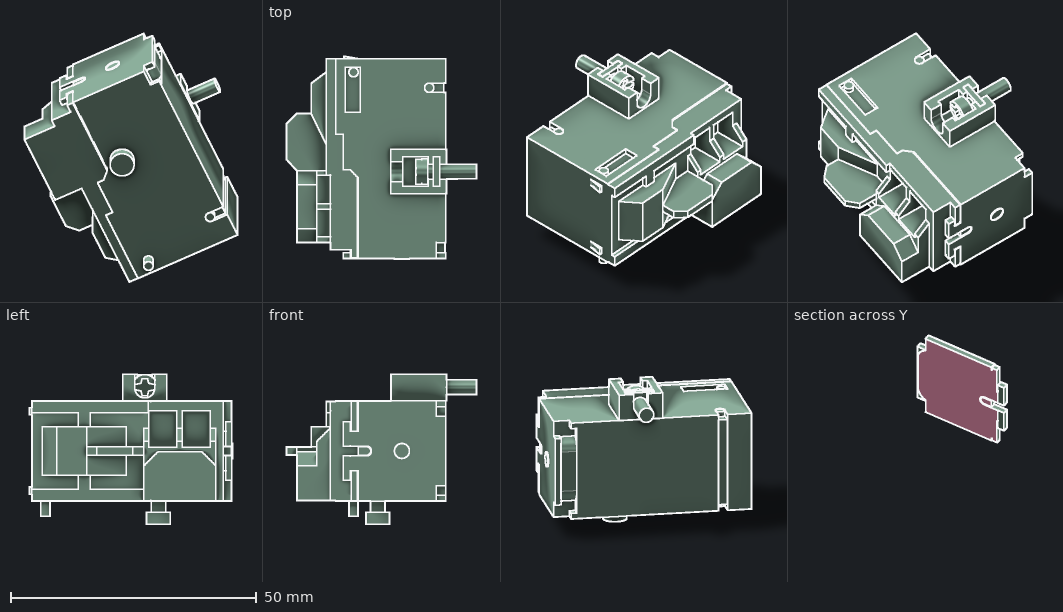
import cadquery as cq


BODY_BACK = 24.4
BODY_LENGTH = 40.7
BODY_HALF = 10.23
COVER_HALF = 10.1
SEAM = 0.12
SEAM_DEPTH = 0.62
SIDE_EDGE = 6.5
SHOULDER_Y = 18.15
SHOULDER_X = 3.48
SHOULDER_CHAMFER = 1.65
STEP_Y = 25.35
STEP_X = 1.95

LOW_FACE = 0.85
LOW_FACE_END = 16.97
COVER_EDGE = 1.8
STRIP_START = 5.15
RAIL_INNER = 7.75
BRIDGE_Y = (28.85, 31.3)

KNOB_HALF = 4.95
KNOB_FACE = -3.05
KNOB_BASE_Y = (21.5, 38.63)
KNOB_FACE_Y = (29.55, 35.7)
GRIP_HALF = 0.83
GRIP_FACE = -8.07
GRIP_CORNER_X = -6.0
GRIP_Y = (20.15, 27.5)
GRIP_TOP_Y = KNOB_FACE_Y[0]

BLOCK_Y = (3.23, 17.93)
BLOCK_FACE = -5.95
BLOCK_TOP = -0.12
BLOCK_CHAMFER = 2.9
FIN_FACE = -1.9
FIN_LOW = 1.95
FIN_HIGH = 4.68
WINDOWS_Y = ((4.45, 10.05), (11.2, 16.95))
WINDOW_Z = (0.8, 8.15)
WINDOW_FLOOR = 4.95

HOOK_X = (3.48, 4.95)
HOOK_THICKNESS = 1.2
HOOK_HALF = 5.95
ARM_HALF = 4.05
LATCH_SLOT_RADIUS = 1.0
LATCH_SLOT_END = 9.25
LATCH_TONGUE_DROP = 0.12

PLATE_THICKNESS = 1.2
PLATE_INNER = BODY_HALF - PLATE_THICKNESS
SLOT_GROOVE = 0.4
CORNER_DEPTH = 1.95
CORNER_Z = 7.1
CORNER_END = 3.25
CORNER_ROUND = 2.9
CORNER_SETBACK = 0.12
UNDERCUT_END = 4.47
PIN_RADIUS = 0.95
BACK_PIN = (21.0, 34.78)

RESET_X = (3.9, 7.0)
RESET_Y = (29.85, 39.0)
RESET_PIN = (5.6, 37.95)
RESET_PIN_Z = (-13.35, 10.15)

TAB_X = (3.6, 6.7)
TAB_HEIGHT = 0.55
TAB_Z = (7.33, 8.8)
BUTTON_RADIUS = 1.55
SIDE_BUTTON_X = 15.45
SIDE_BUTTON_HEIGHT = 0.15
LOW_SCREW = (10.5, 14.95)
LOW_SHAFT_RADIUS = 1.5
LOW_HEAD_RADIUS = 2.45
LOW_HEAD_TOP = -12.45
LOW_HEAD_BOTTOM = -14.95

TERMINAL_X = (13.15, 24.55)
TERMINAL_Y = 17.7
TERMINAL_WIDTH = 9.03
TERMINAL_TOP = 15.65
CAVITY_X = (15.65, 20.8)
CAVITY_WIDTH = 5.95
ENTRY_RADIUS = 2.03
ENTRY_AXIS = 12.85
SCREW_AXIS = 13.0
SCREW_HEAD_X = (18.25, 20.65)
SCREW_HEAD_RADIUS = 2.55
SCREW_RADIUS = 3.02 / 2
SCREW_END = 30.65
NUT_X = (21.85, 23.15)
NUT_TOP = 15.52
CROSS_TIP = 0.55
CROSS_ROOT = 0.8
CROSS_REACH = 1.75
CROSS_SLOT_TIP = 0.4
CROSS_DEPTH = 1.25


def block(x, y, z):
    """Box spanning the given (low, high) pairs."""
    return cq.Workplane("XY").box(
        x[1] - x[0], y[1] - y[0], z[1] - z[0], centered=False
    ).translate((x[0], y[0], z[0]))


def plan(points, half):
    """XY outline extruded equally above and below the mid-plane."""
    return cq.Workplane("XY").polyline(points).close().extrude(half, both=True)


def mirrored(shape):
    """The shape together with its mirror image below the mid-plane."""
    return shape.union(shape.mirror("XY"))


def pin(center, radius, z):
    """Round pin along Z."""
    return cq.Workplane("XY", origin=(*center, z[0])).circle(radius).extrude(z[1] - z[0])


def rod(x, radius, z):
    """Round rod along X on the terminal's centre line."""
    return cq.Workplane("YZ", origin=(x[0], TERMINAL_Y, z)).circle(radius).extrude(x[1] - x[0])


def channel(x, radius, z):
    """Round-bottomed channel along X, open to the top of the terminal."""
    upper = block(x, (TERMINAL_Y - radius, TERMINAL_Y + radius), (z, TERMINAL_TOP))
    return rod(x, radius, z).union(upper)


def housing():
    chamfer_x = SIDE_EDGE - SHOULDER_CHAMFER
    body = plan([
        (STEP_X, BODY_LENGTH), (BODY_BACK, BODY_LENGTH), (BODY_BACK, 0), (SIDE_EDGE, 0),
        (SIDE_EDGE, SHOULDER_Y - SHOULDER_CHAMFER), (chamfer_x, SHOULDER_Y),
        (SHOULDER_X, SHOULDER_Y), (SHOULDER_X, STEP_Y), (STEP_X, STEP_Y),
    ], BODY_HALF)
    cover = plan([
        (0, BODY_LENGTH), (SIDE_EDGE, BODY_LENGTH), (SIDE_EDGE, SEAM), (STRIP_START, SEAM),
        (STRIP_START, COVER_EDGE), (LOW_FACE, COVER_EDGE), (LOW_FACE, LOW_FACE_END), (0, LOW_FACE_END),
    ], COVER_HALF)
    return body.union(cover)


def seam_grooves():
    """Narrow gap between the cover's side strip and the housing."""
    x = (SIDE_EDGE - SEAM, SIDE_EDGE)
    side = block(x, (0, SEAM + SEAM_DEPTH), (ARM_HALF, BODY_HALF))
    top = block(x, (0, SHOULDER_Y - SHOULDER_CHAMFER), (COVER_HALF - SEAM_DEPTH, BODY_HALF))
    return mirrored(side.union(top))


def face_pocket():
    """Sunken area between the rails, crossed by a bridge on each side of the knob."""
    pocket = block((0, LOW_FACE), (LOW_FACE_END, BODY_LENGTH), (-RAIL_INNER, RAIL_INNER))
    return pocket.cut(mirrored(block((0, LOW_FACE), BRIDGE_Y, (KNOB_HALF, RAIL_INNER))))


def knob():
    prism = plan([
        (LOW_FACE, KNOB_BASE_Y[0]), (KNOB_FACE, KNOB_FACE_Y[0]),
        (KNOB_FACE, KNOB_FACE_Y[1]), (LOW_FACE, KNOB_BASE_Y[1]),
    ], KNOB_HALF)
    grip = plan([
        (LOW_FACE, BLOCK_Y[1]), (GRIP_CORNER_X, BLOCK_Y[1]), (GRIP_FACE, GRIP_Y[0]),
        (GRIP_FACE, GRIP_Y[1]), (GRIP_CORNER_X, GRIP_TOP_Y), (KNOB_FACE, GRIP_TOP_Y),
        (LOW_FACE, KNOB_BASE_Y[0]),
    ], GRIP_HALF)
    return prism.union(grip)


def button_block():
    width = BLOCK_Y[1] - BLOCK_Y[0]
    button = block((BLOCK_FACE, LOW_FACE), BLOCK_Y, (-COVER_HALF, BLOCK_TOP))
    button = button.edges("|X and >Z").chamfer(BLOCK_CHAMFER)
    fins = (
        cq.Workplane("XZ", origin=(0, BLOCK_Y[1], 0))
        .polyline([
            (FIN_FACE, -COVER_HALF), (FIN_FACE, FIN_LOW), (LOW_FACE, FIN_HIGH), (LOW_FACE, -COVER_HALF),
        ])
        .close()
        .extrude(width)
    )
    return button.union(fins)


def windows():
    cuts = [block((FIN_FACE, WINDOW_FLOOR), y, WINDOW_Z) for y in WINDOWS_Y]
    return cuts[0].union(cuts[1])


def latch():
    arm = block((HOOK_X[1], SIDE_EDGE), (0, COVER_EDGE), (-ARM_HALF, ARM_HALF))
    hook = block(HOOK_X, (0, HOOK_THICKNESS), (-HOOK_HALF, HOOK_HALF))
    return arm.union(hook)


def latch_slot():
    """Round-ended slot between the two arms, with a sunken tongue left inside it."""
    def round_ended(start, radius, low):
        end = LATCH_SLOT_END - LATCH_SLOT_RADIUS
        tip = cq.Workplane("XZ", origin=(end, COVER_EDGE, 0)).circle(radius).extrude(COVER_EDGE - low)
        return block((start, end), (low, COVER_EDGE), (-radius, radius)).union(tip)

    tongue = round_ended(SIDE_EDGE, LATCH_SLOT_RADIUS - SEAM, LATCH_TONGUE_DROP)
    return round_ended(HOOK_X[0], LATCH_SLOT_RADIUS, 0).cut(tongue)


def back_slots():
    """Round-ended slots in both outer plates, joined by a shallow groove down the back."""
    x, y = BACK_PIN
    slot_y = (y - PIN_RADIUS, y + PIN_RADIUS)
    slot = block((x, BODY_BACK), slot_y, (PLATE_INNER, BODY_HALF))
    slot = slot.union(pin(BACK_PIN, PIN_RADIUS, (PLATE_INNER, BODY_HALF)))
    groove = block((BODY_BACK - SLOT_GROOVE, BODY_BACK), slot_y, (-BODY_HALF, BODY_HALF))
    return mirrored(slot).union(groove)


def corner_notches():
    """Notched back corners, with an undercut gap whose floor rounds over to the back."""
    corner_x = (BODY_BACK - CORNER_DEPTH, BODY_BACK)
    core_back = BODY_BACK - CORNER_SETBACK
    round_z = CORNER_Z - CORNER_ROUND
    gap_y = (HOOK_THICKNESS, UNDERCUT_END)
    rounded = (
        cq.Workplane("XZ", origin=(core_back - CORNER_ROUND, gap_y[1], round_z))
        .circle(CORNER_ROUND)
        .extrude(gap_y[1] - gap_y[0])
    )
    core = rounded.union(block((corner_x[0], core_back), gap_y, (0, round_z)))
    gap = block(corner_x, gap_y, (0, PLATE_INNER)).cut(core)
    notch = block(corner_x, (0, CORNER_END), (CORNER_Z, BODY_HALF))
    return mirrored(notch.union(gap))


def snap_tabs():
    tab = (
        cq.Workplane("XY", origin=(0, BODY_LENGTH, TAB_Z[0]))
        .polyline([(TAB_X[0], 0), (TAB_X[0], TAB_HEIGHT), (TAB_X[1], 0)])
        .close()
        .extrude(TAB_Z[1] - TAB_Z[0])
    )
    return mirrored(tab)


def side_button():
    return cq.Workplane("XZ", origin=(SIDE_BUTTON_X, 0, 0)).circle(BUTTON_RADIUS).extrude(SIDE_BUTTON_HEIGHT)


def low_screw():
    shaft = pin(LOW_SCREW, LOW_SHAFT_RADIUS, (LOW_HEAD_TOP, -BODY_HALF))
    head = pin(LOW_SCREW, LOW_HEAD_RADIUS, (LOW_HEAD_BOTTOM, LOW_HEAD_TOP))
    return shaft.union(head)


def cross_recess():
    """Cross-shaped driver recess whose horizontal arm runs right across the head."""
    quarter = [
        (SCREW_HEAD_RADIUS, CROSS_SLOT_TIP), (CROSS_ROOT, CROSS_ROOT), (CROSS_TIP, CROSS_REACH),
    ]
    half = quarter + [(-y, z) for y, z in reversed(quarter)]
    outline = half + [(y, -z) for y, z in reversed(half)]
    return (
        cq.Workplane("YZ", origin=(SCREW_HEAD_X[0], TERMINAL_Y, SCREW_AXIS))
        .polyline(outline)
        .close()
        .extrude(CROSS_DEPTH)
    )


def terminal():
    def across(width):
        return (TERMINAL_Y - width / 2, TERMINAL_Y + width / 2)

    frame = block(TERMINAL_X, across(TERMINAL_WIDTH), (BODY_HALF, TERMINAL_TOP))
    frame = frame.cut(block(CAVITY_X, across(CAVITY_WIDTH), (BODY_HALF, TERMINAL_TOP)))
    frame = frame.cut(channel((TERMINAL_X[0], CAVITY_X[0]), ENTRY_RADIUS, ENTRY_AXIS))
    frame = frame.cut(channel((CAVITY_X[1], TERMINAL_X[1]), SCREW_RADIUS, SCREW_AXIS))
    nut_space = block(NUT_X, across(CAVITY_WIDTH), (BODY_HALF, TERMINAL_TOP))
    nut = block(NUT_X, across(CAVITY_WIDTH), (BODY_HALF, NUT_TOP))
    head = rod(SCREW_HEAD_X, SCREW_HEAD_RADIUS, SCREW_AXIS).cut(cross_recess())
    shaft = rod((SCREW_HEAD_X[1], SCREW_END), SCREW_RADIUS, SCREW_AXIS)
    return frame.cut(nut_space).union(nut).union(head).union(shaft)


reset_window = block(RESET_X, RESET_Y, (PLATE_INNER, BODY_HALF))

result = (
    housing()
    .cut(seam_grooves())
    .cut(face_pocket())
    .cut(back_slots())
    .cut(corner_notches())
    .union(knob())
    .union(button_block())
    .cut(windows())
    .union(latch())
    .cut(latch_slot())
    .cut(reset_window)
    .union(pin(RESET_PIN, PIN_RADIUS, RESET_PIN_Z))
    .union(pin(BACK_PIN, PIN_RADIUS, (-COVER_HALF, COVER_HALF)))
    .union(snap_tabs())
    .union(side_button())
    .union(low_screw())
    .union(terminal())
)